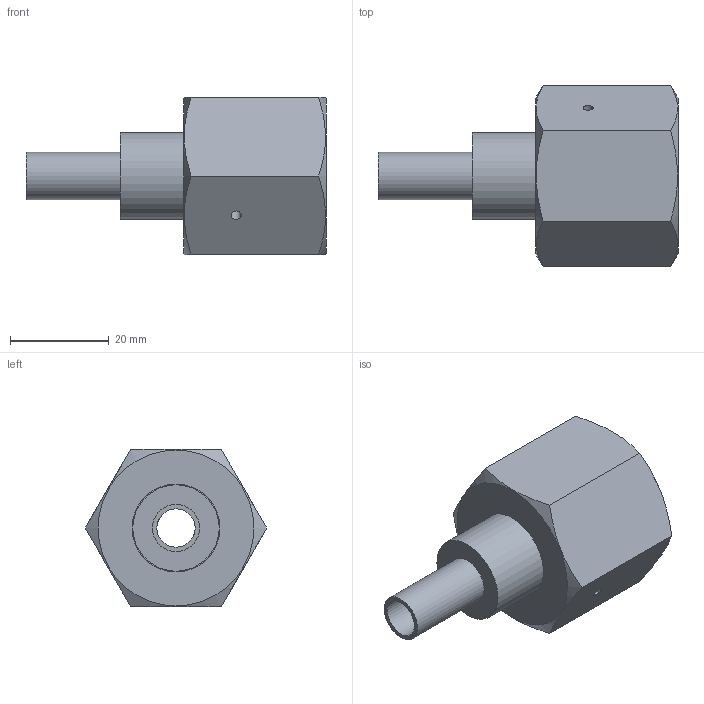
import cadquery as cq
import math

TOTAL_LENGTH = 60.63
TUBE_LENGTH = 19.05
NUT_LENGTH = 28.75

TUBE_DIAMETER = 9.525
TUBE_WALL = 0.889
COLLAR_DIAMETER = 17.46

NUT_ACROSS_FLATS = 31.75
CHAMFER_CIRCLE_DIAMETER = 31.5
CHAMFER_ANGLE = 30.0

CLEARANCE_DIAMETER = 17.78
CLEARANCE_DEPTH = 3.0

VENT_DIAMETER = 2.0
VENT_FROM_NUT_FACE = 10.6
VENT_TILT = 60.0

x_tube = -TOTAL_LENGTH / 2
x_collar = x_tube + TUBE_LENGTH
x_nut_end = TOTAL_LENGTH / 2
x_nut = x_nut_end - NUT_LENGTH
bore_diameter = TUBE_DIAMETER - 2 * TUBE_WALL
across_corners = NUT_ACROSS_FLATS / math.cos(math.pi / 6)


def cylinder(x_start, x_end, diameter):
    """Cylinder on the X axis between two stations."""
    return (
        cq.Workplane("YZ", origin=(x_start, 0, 0))
        .circle(diameter / 2)
        .extrude(x_end - x_start)
    )


def chamfer_envelope():
    """Turned shape that bevels the hexagon corners at both ends."""
    face_radius = CHAMFER_CIRCLE_DIAMETER / 2
    corner_radius = across_corners / 2
    setback = (corner_radius - face_radius) * math.tan(math.radians(CHAMFER_ANGLE))
    return (
        cq.Workplane("XY")
        .moveTo(x_nut, 0)
        .lineTo(x_nut, face_radius)
        .lineTo(x_nut + setback, corner_radius)
        .lineTo(x_nut_end - setback, corner_radius)
        .lineTo(x_nut_end, face_radius)
        .lineTo(x_nut_end, 0)
        .close()
        .revolve(360, (0, 0, 0), (1, 0, 0))
    )


def nut():
    hexagon = (
        cq.Workplane("YZ", origin=(x_nut, 0, 0))
        .polygon(6, across_corners)
        .extrude(NUT_LENGTH)
    )
    clearance = cylinder(x_nut, x_nut + CLEARANCE_DEPTH, CLEARANCE_DIAMETER)
    return hexagon.intersect(chamfer_envelope()).cut(clearance)


def nipple():
    tube = cylinder(x_tube, x_collar, TUBE_DIAMETER)
    collar = cylinder(x_collar, x_nut + CLEARANCE_DEPTH, COLLAR_DIAMETER)
    return tube.union(collar)


def vent():
    """Drill through the axis, square to the +Y+Z and -Y-Z flats."""
    return (
        cq.Workplane("XY", origin=(x_nut + VENT_FROM_NUT_FACE, 0, 0))
        .circle(VENT_DIAMETER / 2)
        .extrude(NUT_ACROSS_FLATS, both=True)
        .rotate((0, 0, 0), (1, 0, 0), -VENT_TILT)
    )


bore = cylinder(x_tube, x_nut_end, bore_diameter)
result = nut().union(nipple()).cut(bore).cut(vent())